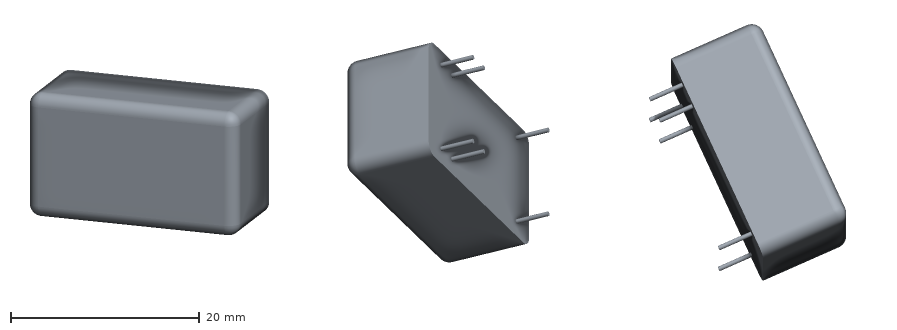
import cadquery as cq

case_length = 23.8
case_height = 13.7
total_depth = 14.0
pin_length = 3.8
case_depth = total_depth - pin_length
edge_radius = 1.35

pin_diameter = 0.5
pin_row_z = 5.1
outer_pin_x = 8.9
pin_pitch = 2.55
pin_columns = [-outer_pin_x, outer_pin_x - pin_pitch, outer_pin_x]
pin_root = 0.24


def make_case():
    """Block rounded on every edge except those of the back face."""
    block = cq.Workplane("XY").box(case_length, case_depth, case_height)
    return block.edges("not >Y").fillet(edge_radius)


def make_pins():
    """Round pins that stand out of the back face along +Y."""
    centers = [(x, z) for x in pin_columns for z in (-pin_row_z, pin_row_z)]
    return (
        cq.Workplane("XZ", origin=(0, case_depth / 2 - pin_root, 0))
        .pushPoints(centers)
        .circle(pin_diameter / 2)
        .extrude(-(pin_length + pin_root))
    )


result = make_case().union(make_pins())